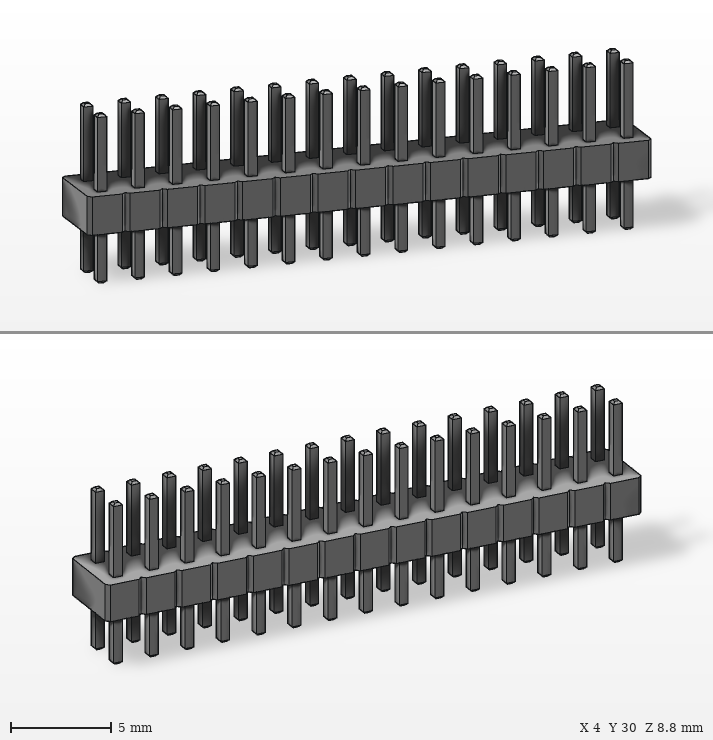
import cadquery as cq

length = 30.0
pin_count = 15
row_count = 2
pitch = length / pin_count

housing_width = row_count * pitch
housing_height = pitch
corner_cut = pitch / 10

total_height = 8.8
pin_size = pitch / 4
pin_above = 2 * pitch
pin_below = total_height - housing_height - pin_above
tip_bevel = pin_size / 4


def centred_positions(count):
    """Centres of evenly pitched places, symmetric about zero."""
    return [(i - (count - 1) / 2) * pitch for i in range(count)]


def upright_box(width, depth, height):
    """A box standing on Z = 0, centred in X and Y."""
    return cq.Workplane("XY").box(width, depth, height, centered=(True, True, False))


def make_segment(y):
    """One housing segment with its four upright edges cut at 45 degrees."""
    segment = upright_box(housing_width, pitch, housing_height)
    segment = segment.edges("|Z").chamfer(corner_cut)
    return segment.translate((0, y, 0))


def make_pin(x, y):
    """A square pin running right through the housing, bevelled at both tips."""
    pin = upright_box(pin_size, pin_size, total_height)
    pin = pin.faces("<Z or >Z").chamfer(tip_bevel)
    return pin.translate((x, y, -pin_below))


columns = centred_positions(row_count)
stations = centred_positions(pin_count)

result = make_segment(stations[0])
for station in stations[1:]:
    result = result.union(make_segment(station))

for station in stations:
    for column in columns:
        result = result.union(make_pin(column, station))

result = result.clean()